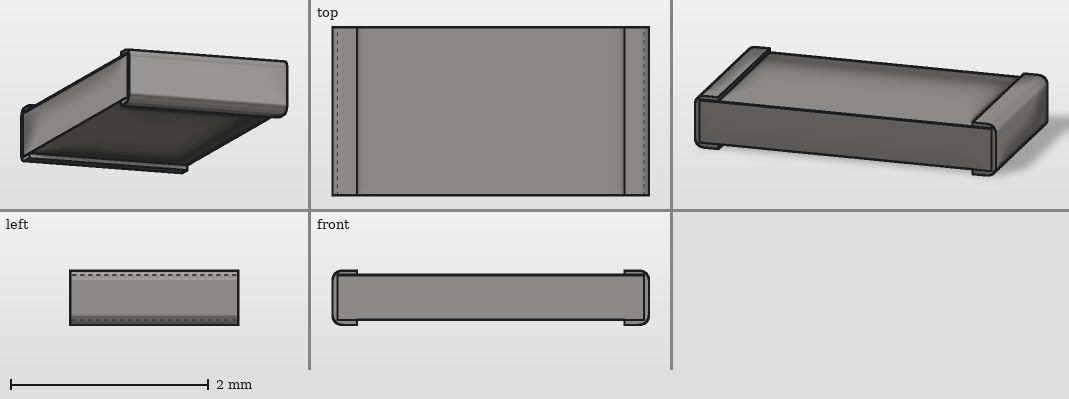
import cadquery as cq

LENGTH = 3.2
WIDTH = 1.7
HEIGHT = 0.55

WALL = 0.05
TOP_WALL = 0.04
LEG_LENGTH = 0.25
CORNER_RADIUS = 0.1

FILM_THICKNESS = 0.01

CORE_LENGTH = LENGTH - 2 * WALL
CORE_BOTTOM = -HEIGHT / 2 + WALL
FILM_TOP = HEIGHT / 2 - TOP_WALL
SUBSTRATE_TOP = FILM_TOP - FILM_THICKNESS


def core_layer(bottom, top):
    """Full-width slab between the two end walls, from bottom to top."""
    return (
        cq.Workplane("XY", origin=(0, 0, bottom))
        .rect(CORE_LENGTH, WIDTH)
        .extrude(top - bottom)
    )


def make_substrate():
    return core_layer(CORE_BOTTOM, SUBSTRATE_TOP)


def make_film():
    return core_layer(SUBSTRATE_TOP, FILM_TOP)


def make_terminal(side):
    """C-shaped cap at the -X (side = -1) or +X (side = 1) end."""
    outer_face = "<X" if side < 0 else ">X"
    block = (
        cq.Workplane("XY")
        .box(LEG_LENGTH, WIDTH, HEIGHT)
        .translate((side * (LENGTH - LEG_LENGTH) / 2, 0, 0))
        .faces(outer_face)
        .edges("|Y")
        .fillet(CORNER_RADIUS)
    )
    return block.cut(core_layer(CORE_BOTTOM, FILM_TOP)).solids()


substrate = make_substrate()
film = make_film()
terminals = [make_terminal(side) for side in (-1, 1)]

result = cq.Compound.makeCompound(
    [substrate.val(), film.val(), *[terminal.val() for terminal in terminals]]
)